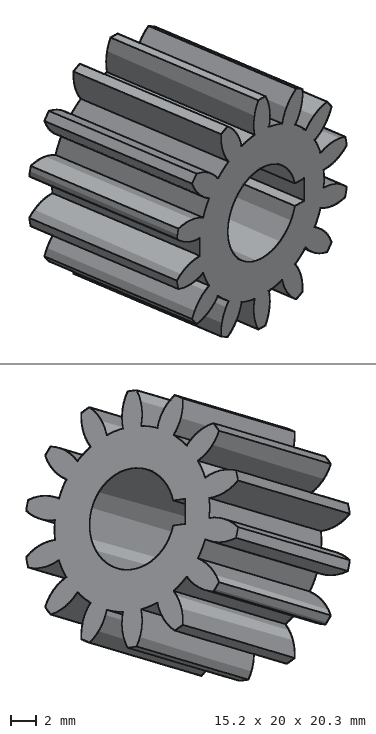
import cadquery as cq
import math

face_width = 15.25
tooth_count = 14
tip_radius = 10.15
root_radius = 7.32

tip_half_width = 0.43
bulge_half_width = 0.95
bulge_radius = 8.17

bore_radius = 4.0
keyway_width = 2.0
keyway_depth_from_axis = 5.0

tip_height = math.sqrt(tip_radius**2 - tip_half_width**2)
flank_drop = bulge_half_width - tip_half_width
flank_rise = tip_height - bulge_radius
flank_radius = (flank_rise**2 + flank_drop**2) / (2 * flank_drop)

foot_height = root_radius - 0.2
foot_drop = flank_radius - math.sqrt(flank_radius**2 - (bulge_radius - foot_height) ** 2)
foot_half_width = bulge_half_width - foot_drop


def make_tooth():
    """Tooth pointing along +Z, running the full face width."""
    return (
        cq.Workplane("YZ")
        .moveTo(-foot_half_width, foot_height)
        .threePointArc((-bulge_half_width, bulge_radius), (-tip_half_width, tip_height))
        .threePointArc((0, tip_radius), (tip_half_width, tip_height))
        .threePointArc((bulge_half_width, bulge_radius), (foot_half_width, foot_height))
        .close()
        .extrude(face_width)
    )


def make_keyed_bore():
    """Through bore with a keyway on its +Y side."""
    bore = cq.Workplane("YZ").circle(bore_radius).extrude(face_width)
    keyway = (
        cq.Workplane("YZ")
        .center(keyway_depth_from_axis / 2, 0)
        .rect(keyway_depth_from_axis, keyway_width)
        .extrude(face_width)
    )
    return bore.union(keyway)


gear = cq.Workplane("YZ").circle(root_radius).extrude(face_width)
tooth = make_tooth()
for index in range(tooth_count):
    angle = index * 360 / tooth_count
    gear = gear.union(tooth.rotate((0, 0, 0), (1, 0, 0), angle))

result = gear.cut(make_keyed_bore())